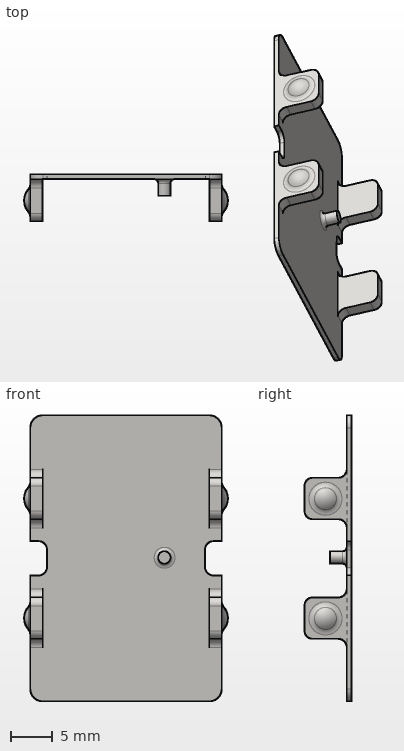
import cadquery as cq
import math

plate_width = 23.0
plate_height = 34.36
plate_thickness = 0.6
plate_corner_radius = 1.5

notch_depth = 2.0
notch_height = 4.1
notch_corner_radius = 1.0

tab_reach = 5.67
tab_thickness = 1.5
tab_height = 5.0
tab_tip_radius = 1.0
tab_root_radius = 1.0
tab_inset = 10.0
tab_center_z = plate_height / 2 - tab_inset

dome_height = 0.75
dome_radius = 2.0
dome_foot_radius = 1.0
dome_center_y = -(tab_reach - tab_height / 2)

pin_diameter = 1.5
pin_length = 2.0
pin_foot_radius = 0.5
pin_x = 4.6
pin_z = 0.1


def make_plate():
    plate = (
        cq.Workplane("XY")
        .box(plate_width, plate_thickness, plate_height)
        .translate((0, -plate_thickness / 2, 0))
        .edges("|Y")
        .fillet(plate_corner_radius)
    )
    cutter = (
        cq.Workplane("XY")
        .box(2 * notch_depth, 3 * plate_thickness, notch_height)
        .edges("|Y")
        .fillet(notch_corner_radius)
    )
    for side in (-1, 1):
        plate = plate.cut(cutter.translate((side * plate_width / 2, 0, 0)))
    return plate


def make_tab():
    """Right-hand tab centred on Z = 0, with flared roots and rounded tip corners."""
    half_height = tab_height / 2
    root_half_height = half_height + tab_root_radius
    front_y = -plate_thickness
    root_y = front_y - tab_root_radius
    tip_y = -tab_reach
    return (
        cq.Workplane("YZ", origin=(plate_width / 2 - tab_thickness, 0, 0))
        .moveTo(0, -root_half_height)
        .lineTo(front_y, -root_half_height)
        .radiusArc((root_y, -half_height), -tab_root_radius)
        .lineTo(tip_y + tab_tip_radius, -half_height)
        .radiusArc((tip_y, -half_height + tab_tip_radius), tab_tip_radius)
        .lineTo(tip_y, half_height - tab_tip_radius)
        .radiusArc((tip_y + tab_tip_radius, half_height), tab_tip_radius)
        .lineTo(root_y, half_height)
        .radiusArc((front_y, root_half_height), -tab_root_radius)
        .lineTo(0, root_half_height)
        .close()
        .extrude(tab_thickness)
    )


def make_dome():
    """Spherical cap about the X axis, rising from X = 0, with a concave tangent foot."""
    sphere_center_x = dome_height - dome_radius
    blend_angle = math.acos((dome_foot_radius - sphere_center_x) / (dome_radius + dome_foot_radius))
    foot_reach = (dome_radius + dome_foot_radius) * math.sin(blend_angle)
    blend_x = sphere_center_x + dome_radius * math.cos(blend_angle)
    blend_reach = dome_radius * math.sin(blend_angle)
    embed_depth = tab_thickness / 2
    return (
        cq.Workplane("XY")
        .moveTo(-embed_depth, 0)
        .lineTo(-embed_depth, foot_reach)
        .lineTo(0, foot_reach)
        .radiusArc((blend_x, blend_reach), -dome_foot_radius)
        .radiusArc((dome_height, 0), dome_radius)
        .close()
        .revolve(360, (0, 0, 0), (1, 0, 0))
    )


def make_pin():
    """Pin along -Y with a concave foot, starting at the plate's back face."""
    pin_radius = pin_diameter / 2
    foot_reach = pin_radius + pin_foot_radius
    front_y = -plate_thickness
    return (
        cq.Workplane("XY")
        .lineTo(foot_reach, 0)
        .lineTo(foot_reach, front_y)
        .radiusArc((pin_radius, front_y - pin_foot_radius), -pin_foot_radius)
        .lineTo(pin_radius, front_y - pin_length)
        .lineTo(0, front_y - pin_length)
        .close()
        .revolve(360, (0, 0, 0), (0, 1, 0))
        .translate((pin_x, 0, pin_z))
    )


right_tab = make_tab().union(make_dome().translate((plate_width / 2, dome_center_y, 0)))
left_tab = right_tab.mirror("YZ")

result = make_plate().union(make_pin())
for center_z in (-tab_center_z, tab_center_z):
    for tab in (left_tab, right_tab):
        result = result.union(tab.translate((0, 0, center_z)))